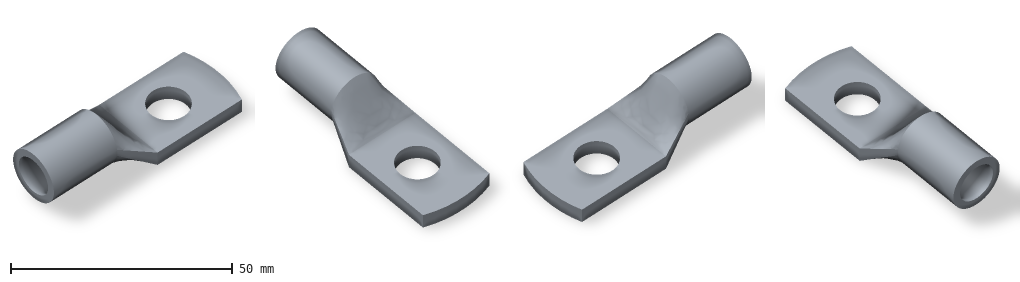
import cadquery as cq
import math

total_length = 55.5
tongue_width = 20.0
tongue_thickness = 4.0
tip_rise = 1.7
bolt_hole_diameter = 10.55
bolt_hole_from_tip = 15.0

barrel_diameter = 14.0
bore_diameter = 10.0
barrel_length = 19.0
barrel_underside = 1.0
neck_length = 9.5
flank_angle = 8.0
neck_steps = 5

barrel_axis_height = barrel_underside + barrel_diameter / 2
tongue_start = barrel_length + neck_length
tip_corner = total_length - tip_rise
half_width = tongue_width / 2


def make_tongue():
    """Flat palm with an arched tip and a bolt hole."""
    palm = (
        cq.Workplane("XY")
        .moveTo(-half_width, tongue_start)
        .lineTo(half_width, tongue_start)
        .lineTo(half_width, tip_corner)
        .threePointArc((0, total_length), (-half_width, tip_corner))
        .close()
        .extrude(tongue_thickness)
    )
    bolt_hole = (
        cq.Workplane("XY")
        .center(0, total_length - bolt_hole_from_tip)
        .circle(bolt_hole_diameter / 2)
        .extrude(tongue_thickness)
    )
    return palm.cut(bolt_hole)


def rim_point(angle):
    """(X, Z) on the barrel's rim, at an angle in degrees from +X."""
    radius = barrel_diameter / 2
    across = radius * math.cos(math.radians(angle))
    up = radius * math.sin(math.radians(angle))
    return across, barrel_axis_height + up


def between(start, end, fraction):
    """Point part of the way from start to end."""
    return tuple(a + (b - a) * fraction for a, b in zip(start, end))


def neck_section(fraction):
    """Cross-section of the neck, from the tongue (fraction 0) to the barrel (fraction 1)."""
    upper_right = between((half_width, tongue_thickness), rim_point(flank_angle), fraction)
    lower_right = between((half_width, 0), rim_point(-flank_angle), fraction)
    right_middle = between((half_width, tongue_thickness / 2), rim_point(0), fraction)
    bottom_middle = between((0, 0), rim_point(-90), fraction)
    crest_fraction = 2 * fraction**2 - fraction**3
    crest = between((0, tongue_thickness), rim_point(90), crest_fraction)

    def mirrored(point):
        return -point[0], point[1]

    corners = [upper_right, mirrored(upper_right), mirrored(lower_right), lower_right]
    middles = [crest, mirrored(right_middle), bottom_middle, right_middle]
    y = tongue_start - neck_length * fraction
    outline = cq.Workplane("XZ", origin=(0, y, 0)).moveTo(*corners[0])
    for middle, corner in zip(middles, corners[1:] + corners[:1]):
        if fraction == 0:
            outline = outline.lineTo(*corner)
        else:
            outline = outline.threePointArc(middle, corner)
    return outline.wire().val()


def make_neck():
    """Solid transition from the round barrel to the rectangular tongue."""
    sections = [neck_section(step / neck_steps) for step in range(neck_steps + 1)]
    return cq.Workplane(cq.Solid.makeLoft(sections))


def make_barrel():
    """Round tube, open at Y = 0 and closed by the neck."""
    return (
        cq.Workplane("XZ")
        .center(0, barrel_axis_height)
        .circle(barrel_diameter / 2)
        .circle(bore_diameter / 2)
        .extrude(-barrel_length)
    )


result = make_tongue().union(make_neck()).union(make_barrel())